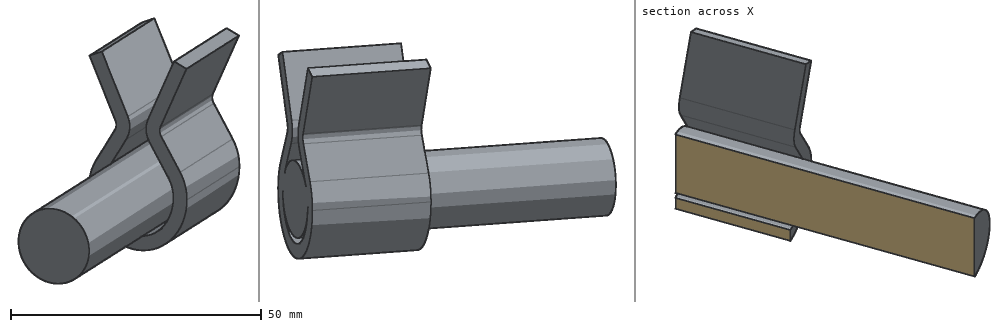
import cadquery as cq
import math

rod_radius = 7.8
rod_length = 65.0
strip_thickness = 3.0
clip_length = 25.0
seat_depth = 9.0
neck_gap = 3.6
neck_angle = math.radians(31.0)
arm_angle = math.radians(24.0)
arm_length = 14.0
bend_inner_radius = 2.2
bend_outer_radius = bend_inner_radius + strip_thickness

bend_x = neck_gap / 2 + bend_outer_radius
bend_z = (rod_radius + bend_outer_radius - bend_x * math.cos(neck_angle)) / math.sin(neck_angle)


def polar(radius, angle, centre=(0.0, 0.0)):
    """Point at a radius and angle from a centre in the XZ section."""
    return (centre[0] + radius * math.cos(angle), centre[1] + radius * math.sin(angle))


def mirrored(point):
    return (-point[0], point[1])


def clip_face_points(seat_radius, bend_radius):
    """Points of one strip face on the +X side, from the seat up to the arm tip."""
    bend = (bend_x, bend_z)
    arm_start = polar(bend_radius, math.pi - arm_angle, bend)
    return {
        "side": (seat_radius, 0.0),
        "seat_middle": polar(seat_radius, neck_angle / 2),
        "seat_end": polar(seat_radius, neck_angle),
        "bend_start": polar(bend_radius, math.pi + neck_angle, bend),
        "bend_middle": polar(bend_radius, math.pi + (neck_angle - arm_angle) / 2, bend),
        "arm_start": arm_start,
        "tip": polar(arm_length, math.pi / 2 - arm_angle, arm_start),
    }


def clip_face_outline(seat_radius, depth, bend_radius):
    """Edges of one strip face, with its -X and +X arm tips."""
    right = clip_face_points(seat_radius, bend_radius)
    left = {name: mirrored(point) for name, point in right.items()}

    def vector(point):
        return cq.Vector(point[0], 0, point[1])

    def half_edges(half):
        at = {name: vector(point) for name, point in half.items()}
        return [
            cq.Edge.makeThreePointArc(at["side"], at["seat_middle"], at["seat_end"]),
            cq.Edge.makeLine(at["seat_end"], at["bend_start"]),
            cq.Edge.makeThreePointArc(at["bend_start"], at["bend_middle"], at["arm_start"]),
            cq.Edge.makeLine(at["arm_start"], at["tip"]),
        ]

    bottom = cq.Edge.makeEllipse(
        depth,
        seat_radius,
        pnt=cq.Vector(0, 0, 0),
        dir=cq.Vector(0, 1, 0),
        xdir=cq.Vector(0, 0, -1),
        angle1=-90,
        angle2=90,
    )
    return half_edges(left) + [bottom] + half_edges(right), vector(left["tip"]), vector(right["tip"])


def make_clip():
    """Bent strip: semi-elliptical bottom, round seat, pinched neck and flared arms."""
    inner, inner_left, inner_right = clip_face_outline(rod_radius, seat_depth, bend_outer_radius)
    outer, outer_left, outer_right = clip_face_outline(
        rod_radius + strip_thickness, seat_depth + strip_thickness, bend_inner_radius
    )
    tip_ends = [
        cq.Edge.makeLine(inner_left, outer_left),
        cq.Edge.makeLine(inner_right, outer_right),
    ]
    section = cq.Wire.combine(inner + outer + tip_ends)[0]
    clip = cq.Solid.extrudeLinear(section, [], cq.Vector(0, clip_length, 0))
    return cq.Workplane(obj=clip)


def make_rod():
    """Round rod running through the clip and out on the -Y side."""
    rod = cq.Workplane("XZ", origin=(0, clip_length, 0)).circle(rod_radius)
    return rod.extrude(rod_length)


result = make_clip().union(make_rod())